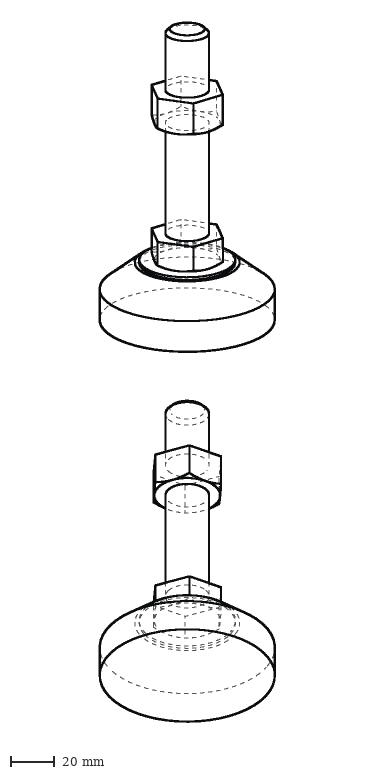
import cadquery as cq
import math

pad_radius = 39.97
pad_rim_height = 15.1
pad_top_radius = 24.0
pad_height = 28.2

total_height = 142.5
shaft_radius = 10.0
tip_chamfer = 2.0
flange_radius = 22.0
flange_thickness = 1.3

across_flats = 30.0
across_corners = across_flats / math.cos(math.radians(30))
corner_chamfer_angle = 30.0
wrench_hex_height = 13.0
nut_base = 96.6
nut_height = 16.1

flange_top = pad_height + flange_thickness


def make_pad():
    """Round pad with a straight rim and a conical upper side."""
    profile = [
        (0, 0),
        (pad_radius, 0),
        (pad_radius, pad_rim_height),
        (pad_top_radius, pad_height),
        (0, pad_height),
    ]
    return cq.Workplane("XZ").polyline(profile).close().revolve()


def make_hexagon(base, height):
    """Hexagonal prism, corners on X, with its lower corners chamfered by a cone."""
    prism = cq.Workplane("XY").workplane(offset=base).polygon(6, across_corners).extrude(height)
    inner_radius = across_flats / 2
    outer_radius = across_corners / 2
    chamfer_height = (outer_radius - inner_radius) * math.tan(math.radians(corner_chamfer_angle))
    envelope_radius = outer_radius + (outer_radius - inner_radius)
    envelope_profile = [
        (0, base),
        (inner_radius, base),
        (envelope_radius, base + 2 * chamfer_height),
        (envelope_radius, base + height),
        (0, base + height),
    ]
    envelope = cq.Workplane("XZ").polyline(envelope_profile).close().revolve()
    return prism.intersect(envelope)


def make_spindle():
    """Shaft with a flange resting on the pad, a wrench hexagon and a nut-shaped collar."""
    flange = cq.Workplane("XY").workplane(offset=pad_height).circle(flange_radius).extrude(flange_thickness)
    shaft = (
        cq.Workplane("XY")
        .workplane(offset=pad_height)
        .circle(shaft_radius)
        .extrude(total_height - pad_height)
        .faces(">Z")
        .chamfer(tip_chamfer)
    )
    wrench_hex = make_hexagon(flange_top, wrench_hex_height)
    nut_collar = make_hexagon(nut_base, nut_height)
    return shaft.union(flange).union(wrench_hex).union(nut_collar)


pad = make_pad()
spindle = make_spindle()

result = cq.Compound.makeCompound([pad.val(), *spindle.solids().vals()])